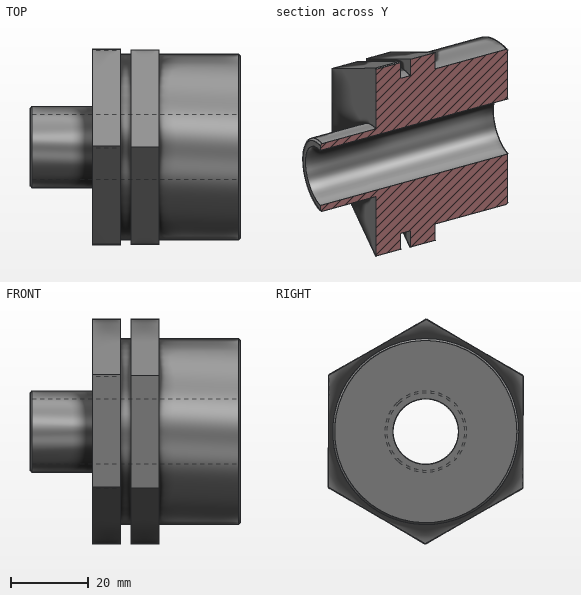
import cadquery as cq
import math


overall_length = 54.0
spigot_diameter = 20.95
body_diameter = 47.8
bore_diameter = 16.76
end_chamfer = 0.5

hex_sides = 6
hex_across_flats = 50.0
hex_thickness = 7.25
corner_up_angle = 90.0
spigot_length = 16.0
hex_gap = 2.6
first_hex_turn = -0.54
second_hex_turn = 0.0

first_hex_start = spigot_length
second_hex_start = first_hex_start + hex_thickness + hex_gap


def cylinder(start, length, diameter):
    """Cylinder along +X beginning at the given X position."""
    return cq.Workplane("YZ", origin=(start, 0, 0)).circle(diameter / 2).extrude(length)


def hex_flange(start, turn):
    """Hexagonal flange with one corner pointing along +Z, then turned about X."""
    across_corners = hex_across_flats / math.cos(math.pi / hex_sides)
    return (
        cq.Workplane("YZ", origin=(start, 0, 0))
        .polygon(hex_sides, across_corners)
        .extrude(hex_thickness)
        .rotate((0, 0, 0), (1, 0, 0), corner_up_angle + turn)
    )


spigot = cylinder(0, spigot_length, spigot_diameter).faces("<X").chamfer(end_chamfer)
body = (
    cylinder(first_hex_start, overall_length - first_hex_start, body_diameter)
    .faces(">X")
    .chamfer(end_chamfer)
)
bore = cylinder(0, overall_length, bore_diameter)

result = (
    spigot.union(body)
    .union(hex_flange(first_hex_start, first_hex_turn))
    .union(hex_flange(second_hex_start, second_hex_turn))
    .cut(bore)
)